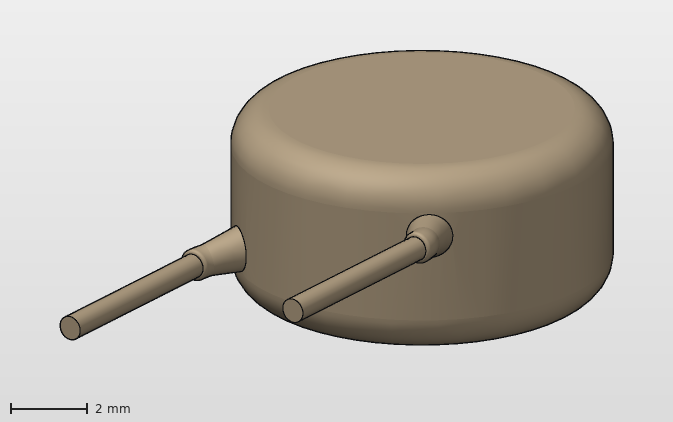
import cadquery as cq
import math

case_diameter = 10.0
case_height = case_diameter / 2
case_edge_radius = case_diameter / 10
case_radius = case_diameter / 2

overall_length = 15.78
lead_diameter = 0.65
lead_offset_x = 3.58
lead_offset_z = 1.05
lead_end_y = case_radius - overall_length

neck_radius = 0.43
collar_start_y = -5.16
collar_length = 0.11
collar_rim_radius = 0.1
elbow_radius = 0.79
elbow_angle = 29.0
elbow_roll = 17.5
cone_half_angle = 10.0
cone_length = 1.9
cone_end_radius = neck_radius + cone_length * math.tan(math.radians(cone_half_angle))

lead_turns = (0, 180)


def turn_about_y(shape, angle):
    return shape.rotate((0, 0, 0), (0, 1, 0), angle)


def make_disc():
    disc = cq.Workplane("XY", origin=(0, 0, -case_height / 2)).circle(case_radius).extrude(case_height)
    return disc.faces("|Z").edges().fillet(case_edge_radius)


def make_neck():
    """Neck at the lower -X position, first built along Y and bending toward +X."""
    collar = cq.Workplane("XZ").circle(neck_radius).extrude(collar_length)
    collar = collar.faces("<Y").edges().fillet(collar_rim_radius)

    elbow = (
        cq.Workplane("XZ")
        .circle(neck_radius)
        .revolve(elbow_angle, (elbow_radius, 0.15, 0), (elbow_radius, -0.15, 0))
    )
    bend = math.radians(elbow_angle)
    elbow_end = (elbow_radius * (1 - math.cos(bend)), elbow_radius * math.sin(bend), 0)
    cone_direction = (math.sin(bend), math.cos(bend), 0)
    cone = cq.Workplane(
        cq.Solid.makeCone(
            neck_radius, cone_end_radius, cone_length, cq.Vector(*elbow_end), cq.Vector(*cone_direction)
        )
    )
    neck = collar.union(elbow).union(cone)
    neck = turn_about_y(neck, -elbow_roll)
    return neck.translate((-lead_offset_x, collar_start_y, -lead_offset_z))


def make_lead(turn):
    """Wire from its seat in the collar to its free end."""
    lead = (
        cq.Workplane("XZ", origin=(-lead_offset_x, collar_start_y, -lead_offset_z))
        .circle(lead_diameter / 2)
        .extrude(collar_start_y - lead_end_y)
    )
    return turn_about_y(lead, turn)


def make_case(leads):
    """Disc with both necks, bored where the leads are seated."""
    case = make_disc()
    neck = make_neck()
    for turn in lead_turns:
        case = case.union(turn_about_y(neck, turn))
    for lead in leads:
        case = case.cut(lead)
    return case


leads = [make_lead(turn) for turn in lead_turns]
case = make_case(leads)

result = cq.Compound.makeCompound([case.solids().val(), *[lead.solids().val() for lead in leads]])